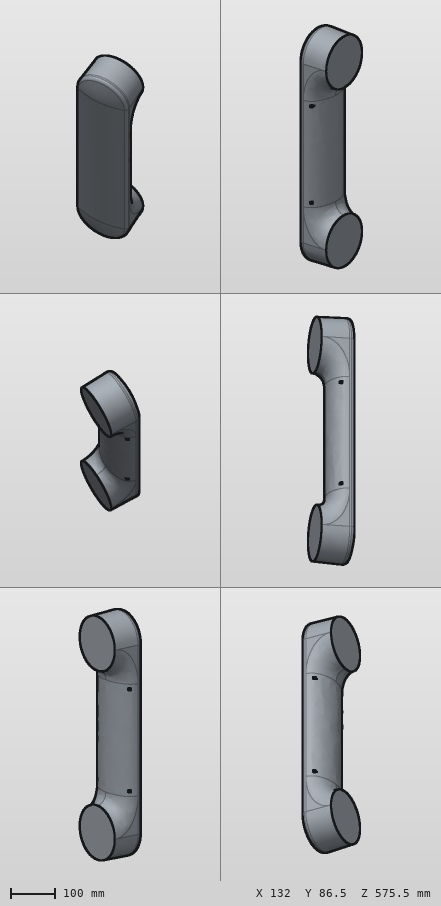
import cadquery as cq
import math

length = 575.5
width = 132.0
depth = 86.5

front_y = -depth / 2
back_y = depth / 2
seam_y = -21.5
waist_y = back_y - 25.0

half_width = width / 2
leg_z = length / 2 - half_width

crown_height = 11.5
cover_edge_radius = 8.5
rim_margin = 0.05
crown_edge_y = front_y + crown_height
crown_radius = (half_width**2 + crown_height**2) / (2 * crown_height)

foot_radius = 64.0
foot_height = 2.5
foot_top_y = back_y - foot_height

arch_height = waist_y - seam_y
blend_z = 132.0
blend_steps = 12
blend_tolerance = 0.0001
joint_tolerance = 0.001

pin_diameter = 5.0
pin_y = -3.5
pin_z = 119.5
pin_floor_x = 52.0


def mirrored_ends(upper):
    """Return the upper-end solid joined with its mirror image at the lower end."""
    return upper.union(upper.mirror("XY"))


def cover_half_section():
    """Half of the cover's cross-section, from the centre plane to the side."""
    return (
        cq.Workplane("XY")
        .moveTo(0, seam_y)
        .lineTo(half_width, seam_y)
        .lineTo(half_width, crown_edge_y)
        .radiusArc((0, front_y), crown_radius)
        .close()
    )


def make_cover():
    """Front cover: a crowned bar with revolved ends and a rounded rim."""
    right_half = cover_half_section().extrude(leg_z, both=True)
    bar = right_half.union(right_half.mirror("YZ"))
    end = cover_half_section().revolve(360, (0, 0), (0, 1)).translate((0, 0, leg_z))
    cover = bar.union(mirrored_ends(end))
    rim = cq.selectors.BoxSelector(
        (-width, crown_edge_y - rim_margin, -length),
        (width, crown_edge_y + rim_margin, length),
        boundingbox=True,
    )
    return cover.edges(rim).fillet(cover_edge_radius)


def make_leg():
    """Upper leg: a full round foot on the outer half of a tapered round column."""
    column = (
        cq.Workplane("XY")
        .moveTo(0, seam_y)
        .lineTo(half_width, seam_y)
        .lineTo(foot_radius, foot_top_y)
        .lineTo(0, foot_top_y)
        .close()
        .revolve(180, (0, 0), (0, -1))
    )
    foot = cq.Workplane("XZ", origin=(0, back_y, 0)).circle(foot_radius).extrude(foot_height)
    return column.union(foot).translate((0, 0, leg_z))


def make_waist():
    """Half-elliptical bridge between the two blends."""
    return (
        cq.Workplane("XY", origin=(0, seam_y, -blend_z))
        .moveTo(half_width, 0)
        .ellipseArc(half_width, arch_height, 0, 180, startAtCurrent=True)
        .close()
        .extrude(2 * blend_z)
    )


def blend_point(around, along):
    """Point of the blend: `around` turns about the leg, `along` runs from the foot to the waist.

    Each path is a quarter ellipse that leaves the foot along -Y and meets the waist along -Z.
    """
    sideways = math.cos(around)
    inward = math.sin(around)
    foot_point = cq.Vector(foot_radius * sideways, foot_top_y, leg_z - foot_radius * inward)
    waist_point = cq.Vector(half_width * sideways, seam_y + arch_height * inward, blend_z)
    span = waist_point - foot_point
    drop = math.sin(along)
    reach = 1 - math.cos(along)
    return foot_point + cq.Vector(span.x * drop, span.y * drop, span.z * reach)


def make_blend():
    """Solid under the smooth surface that carries the inner half of the upper leg into the waist."""
    quarter = math.pi / 2
    steps = [quarter * i / blend_steps for i in range(blend_steps + 1)]
    grid = [[blend_point(quarter + around, along) for along in steps] for around in steps]
    surface = cq.Face.makeSplineApprox(grid, tol=blend_tolerance, minDeg=3, maxDeg=8)

    foot_arc = max(surface.Edges(), key=lambda edge: edge.Center().y)
    waist_arc = min(surface.Edges(), key=lambda edge: edge.Center().z)
    centre_path = max(surface.Edges(), key=lambda edge: edge.Center().x)
    side_path = min(surface.Edges(), key=lambda edge: edge.Center().x)
    foot_side = cq.Vector(-foot_radius, foot_top_y, leg_z)
    foot_centre = cq.Vector(0, foot_top_y, leg_z)
    foot_tip = grid[0][0]
    crest = grid[0][-1]
    waist_side = cq.Vector(-half_width, seam_y, blend_z)
    waist_centre = cq.Vector(0, seam_y, blend_z)
    leg_side = cq.Vector(-half_width, seam_y, leg_z)
    leg_centre = cq.Vector(0, seam_y, leg_z)

    outlines = [
        ([foot_arc], [foot_side, foot_centre, foot_tip]),
        ([waist_arc], [waist_side, waist_centre, crest]),
        ([side_path], [waist_side, leg_side, foot_side]),
        ([centre_path], [crest, waist_centre, leg_centre, foot_centre, foot_tip]),
        ([], [foot_side, foot_centre, leg_centre, leg_side, foot_side]),
        ([], [waist_side, waist_centre, leg_centre, leg_side, waist_side]),
    ]
    faces = [surface]
    for curved, corners in outlines:
        straight = [cq.Edge.makeLine(start, end) for start, end in zip(corners, corners[1:])]
        faces.append(cq.Face.makeFromWires(cq.Wire.assembleEdges(curved + straight)))
    left_half = cq.Workplane(cq.Solid.makeSolid(cq.Shell.makeShell(faces)))
    return left_half.union(left_half.mirror("YZ"))


def make_pin_holes():
    """Blind pin holes in both sides of the waist."""
    right_holes = (
        cq.Workplane("YZ", origin=(pin_floor_x, 0, 0))
        .pushPoints([(pin_y, pin_z), (pin_y, -pin_z)])
        .circle(pin_diameter / 2)
        .extrude(half_width)
    )
    return right_holes.union(right_holes.mirror("YZ"))


frame = make_waist()
for end_piece in (make_blend(), make_leg()):
    frame = frame.union(mirrored_ends(end_piece), tol=joint_tolerance)
result = frame.union(make_cover(), tol=joint_tolerance).cut(make_pin_holes())